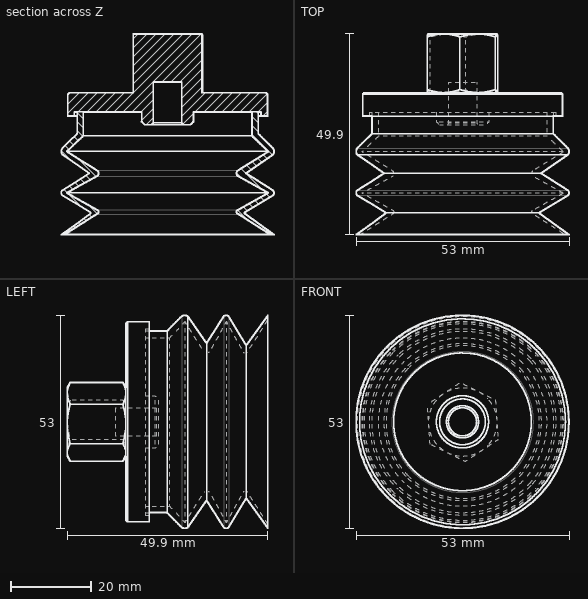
import cadquery as cq
import math


flange_radius = 49.75 / 2
flange_front = 29.45
flange_back = 35.3
flange_chamfer = 0.4
socket_radius = 46.4 / 2
socket_floor = 30.5

overall_length = 49.85
hex_across_flats = 17.0
hex_corner_angle = 33.7
hex_chamfer_length = 0.75
hex_end_radius = hex_across_flats / 2

boss_diameter = 13.0
boss_tip_diameter = 11.4
boss_length = 3.2
hole_diameter = 7.0
hole_mouth_diameter = 8.0
hole_depth = 10.6

crest_radius = 26.5
collar_radius = 45.15 / 2
shoulder_y = 25.05
front_neck_radius = 19.05
front_neck_y = 5.4
rear_neck_radius = 19.55
rear_neck_y = 15.25
front_crest_start, front_crest_end = 9.75, 11.0
rear_crest_start, rear_crest_end = 19.9, 21.45
crest_edge_radius = 26.25

lip_width = 0.9
inner_neck_radius = 17.55
neck_bulge = 0.4
front_neck_land = 1.05
rear_neck_land = 1.5
front_inner_neck_y = 5.65
inner_crest_radius = 25.0
inner_collar_radius = 20.95
inner_shoulder_y = 24.55


def revolve_about_y(profile):
    """Turn a profile drawn as (radius, y) into a solid around the Y axis."""
    return profile.close().revolve(360, (0, 0, 0), (0, 1, 0))


def make_hex_head():
    corner_diameter = hex_across_flats / math.cos(math.radians(30))
    corner_radius = corner_diameter / 2
    head_length = overall_length - flange_back
    prism = (
        cq.Workplane("XZ", origin=(0, overall_length, 0))
        .transformed(rotate=(0, 0, hex_corner_angle))
        .polygon(6, corner_diameter)
        .extrude(head_length)
    )
    blank = revolve_about_y(
        cq.Workplane("XY")
        .moveTo(0, flange_back)
        .lineTo(hex_end_radius, flange_back)
        .lineTo(corner_radius, flange_back + hex_chamfer_length)
        .lineTo(corner_radius, overall_length - hex_chamfer_length)
        .lineTo(hex_end_radius, overall_length)
        .lineTo(0, overall_length)
    )
    return prism.intersect(blank)


def make_fitting():
    boss_radius = boss_diameter / 2
    boss_tip_radius = boss_tip_diameter / 2
    boss_tip_y = socket_floor - boss_length
    boss_chamfer = boss_radius - boss_tip_radius
    turned = revolve_about_y(
        cq.Workplane("XY")
        .moveTo(0, boss_tip_y)
        .lineTo(boss_tip_radius, boss_tip_y)
        .lineTo(boss_radius, boss_tip_y + boss_chamfer)
        .lineTo(boss_radius, socket_floor)
        .lineTo(socket_radius, socket_floor)
        .lineTo(socket_radius, flange_front)
        .lineTo(flange_radius, flange_front)
        .lineTo(flange_radius, flange_back - flange_chamfer)
        .lineTo(flange_radius - flange_chamfer, flange_back)
        .lineTo(0, flange_back)
    )
    hole_radius = hole_diameter / 2
    hole_mouth_radius = hole_mouth_diameter / 2
    hole = revolve_about_y(
        cq.Workplane("XY")
        .moveTo(0, boss_tip_y)
        .lineTo(hole_mouth_radius, boss_tip_y)
        .lineTo(hole_radius, boss_tip_y + hole_mouth_radius - hole_radius)
        .lineTo(hole_radius, boss_tip_y + hole_depth)
        .lineTo(0, boss_tip_y + hole_depth)
    )
    return turned.union(make_hex_head()).cut(hole)


def make_bellows():
    def add_crest(profile, start, end):
        """Rounded outer ridge between two y positions, run towards the mouth."""
        return profile.lineTo(crest_edge_radius, end).threePointArc(
            (crest_radius, (start + end) / 2), (crest_edge_radius, start)
        )

    def add_inner_neck(profile, neck_y, land):
        """Rounded inner ridge, run away from the mouth."""
        return profile.lineTo(inner_neck_radius, neck_y - land / 2).threePointArc(
            (inner_neck_radius - neck_bulge, neck_y),
            (inner_neck_radius, neck_y + land / 2),
        )

    profile = cq.Workplane("XY").moveTo(collar_radius, socket_floor).lineTo(collar_radius, shoulder_y)
    profile = add_crest(profile, rear_crest_start, rear_crest_end)
    profile = profile.lineTo(rear_neck_radius, rear_neck_y)
    profile = add_crest(profile, front_crest_start, front_crest_end)
    profile = profile.lineTo(front_neck_radius, front_neck_y)
    profile = profile.lineTo(crest_radius, 0).lineTo(crest_radius - lip_width, 0)
    profile = add_inner_neck(profile, front_inner_neck_y, front_neck_land)
    profile = profile.lineTo(inner_crest_radius, (front_crest_start + front_crest_end) / 2)
    profile = add_inner_neck(profile, rear_neck_y, rear_neck_land)
    profile = profile.lineTo(inner_crest_radius, (rear_crest_start + rear_crest_end) / 2)
    profile = profile.lineTo(inner_collar_radius, inner_shoulder_y)
    profile = profile.lineTo(inner_collar_radius, socket_floor)
    return revolve_about_y(profile)


fitting = make_fitting()
bellows = make_bellows()

result = cq.Compound.makeCompound([fitting.val(), bellows.val()])